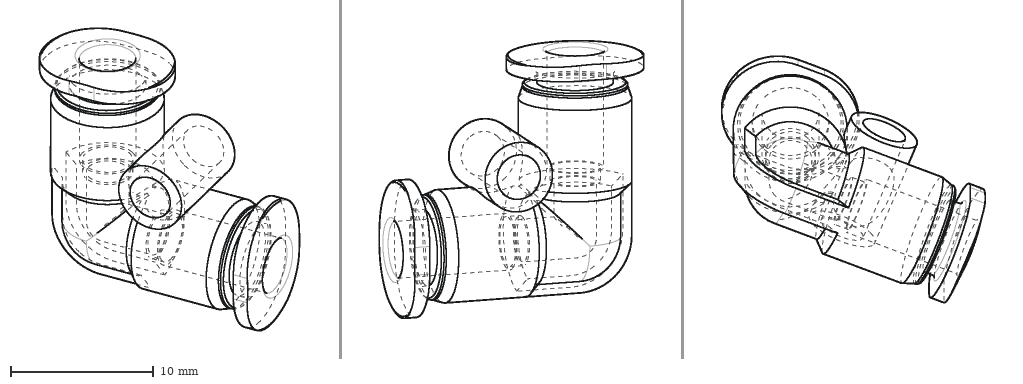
import cadquery as cq
import math

overall_length = 18.4
body_diameter = 8.0
body_radius = body_diameter / 2
elbow_radius = 3.2
rib_thickness = 2.06

taper_start = 9.97
taper_end = 10.8
body_end = 11.11
end_radius = 3.72
end_chamfer = 0.15

neck_diameter = 5.4
neck_radius = neck_diameter / 2
neck_fillet = 0.33
collar_back = 12.09
sleeve_end = 13.5
collar_half_length = overall_length - sleeve_end
collar_half_width = 3.9
rim_radius = 4.73
rim_drop = 0.1
face_slope = math.radians(10)

sleeve_bore_diameter = 4.0
sleeve_bore_radius = sleeve_bore_diameter / 2
mouth_fillet = 0.3
tube_bore_radius = 1.77
flow_diameter = 3.0
flow_radius = flow_diameter / 2
sleeve_bore_floor = 5.0
tube_bore_floor = 4.0

eye_position = 5.52
eye_radius = 2.5
eye_hole_radius = 1.6


def on_x_axis(solid):
    """Turn a solid standing on the Z axis onto the X axis."""
    return solid.rotate((0, 0, 0), (0, 1, 0), 90)


def rod(radius, start, end):
    return cq.Workplane("XY").workplane(offset=start).circle(radius).extrude(end - start)


def elbow(radius, length):
    """Two rods meeting at a ball-shaped corner."""
    upright = rod(radius, 0, length)
    return upright.union(on_x_axis(upright)).union(cq.Workplane("XY").sphere(radius))


def socket_body():
    """Thick pipe end, tapered down to the slim elbow at its lower end."""
    return (
        cq.Workplane("XZ")
        .moveTo(0, elbow_radius)
        .lineTo(elbow_radius, elbow_radius)
        .lineTo(body_radius, body_radius)
        .lineTo(body_radius, taper_start)
        .lineTo(end_radius, taper_end)
        .lineTo(end_radius, body_end - end_chamfer)
        .lineTo(end_radius - end_chamfer, body_end)
        .lineTo(0, body_end)
        .close()
        .revolve(360, (0, 0), (0, 1))
    )


def sleeve():
    """Neck and oblong collar with a shallow conical face."""
    mouth_radius = sleeve_bore_radius + mouth_fillet
    rim_height = sleeve_end - (rim_radius - mouth_radius) * math.tan(face_slope)
    turned = (
        cq.Workplane("XZ")
        .moveTo(0, body_end)
        .lineTo(neck_radius, body_end)
        .lineTo(neck_radius, collar_back - neck_fillet)
        .radiusArc((neck_radius + neck_fillet, collar_back), neck_fillet)
        .lineTo(collar_half_length, collar_back)
        .lineTo(collar_half_length, rim_height - rim_drop)
        .lineTo(rim_radius, rim_height)
        .lineTo(mouth_radius, sleeve_end)
        .lineTo(0, sleeve_end)
        .close()
        .revolve(360, (0, 0), (0, 1))
    )
    outline = (
        cq.Workplane("XY")
        .workplane(offset=body_end)
        .slot2D(2 * collar_half_length, 2 * collar_half_width)
        .extrude(sleeve_end - body_end)
    )
    return turned.intersect(outline)


def socket_bore():
    """Stepped tube bore with a rounded mouth."""
    return (
        cq.Workplane("XZ")
        .moveTo(0, tube_bore_floor)
        .lineTo(tube_bore_radius, tube_bore_floor)
        .lineTo(tube_bore_radius, sleeve_bore_floor)
        .lineTo(sleeve_bore_radius, sleeve_bore_floor)
        .lineTo(sleeve_bore_radius, sleeve_end - mouth_fillet)
        .radiusArc((sleeve_bore_radius + mouth_fillet, sleeve_end), mouth_fillet)
        .lineTo(0, sleeve_end)
        .close()
        .revolve(360, (0, 0), (0, 1))
    )


def eye_rod(radius):
    """Rod along Y at the eye, as long as the body is wide."""
    return (
        cq.Workplane("XZ")
        .workplane(offset=-body_radius)
        .center(eye_position, eye_position)
        .circle(radius)
        .extrude(2 * body_radius)
    )


rib_slab = cq.Workplane("XY").box(4 * body_radius, rib_thickness, 4 * body_radius)
rib = elbow(body_radius, body_radius).intersect(rib_slab)
result = elbow(elbow_radius, body_radius).union(rib)

socket = socket_body().union(sleeve())
result = result.union(socket).union(on_x_axis(socket))

result = result.union(eye_rod(eye_radius)).cut(eye_rod(eye_hole_radius))

bore = socket_bore()
result = result.cut(elbow(flow_radius, tube_bore_floor)).cut(bore).cut(on_x_axis(bore))